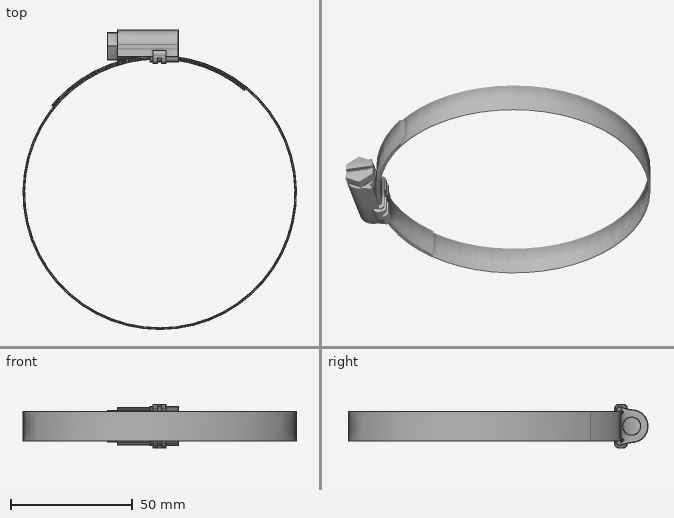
import cadquery as cq
import math

BAND_DIAMETER = 112.5
BAND_R = BAND_DIAMETER / 2
BAND_T = 0.68
BAND_WIDTH = 12.2
INNER_END = 50.4
CROWN = 90.0
OUTER_END = 141.0
RING_JOIN = 137.0
OUTER_CROWN_R = BAND_R + 0.1
OUTER_END_R = BAND_R + 0.9
INNER_CROWN_R = BAND_R - 0.6
INNER_END_R = BAND_R - 0.92
TIP_CHAMFER_LENGTH = 2.8
TIP_CHAMFER_WIDTH = 2.0

AXIS_Y = 60.2
HEAD_FLATS = 11.2
HEAD_LENGTH = 4.2
SLOT_WIDTH = 1.8
SLOT_DEPTH = 1.5
SHANK_R = 3.7

HOUSING_X0 = -17.4
HOUSING_X1 = 7.6
OVERALL_Y = 123.2
HOUSING_TOP = OVERALL_Y - BAND_R
BARREL_R = HOUSING_TOP - AXIS_Y
SHOULDER_TOP = 61.0
SHOULDER_Y = 59.1
SHOULDER_HALF = 6.9
LIP_Y = 55.9
LIP_HALF = 7.6
LIP_INNER_HALF = 6.7
TROUGH_TOP = 56.9
TROUGH_HALF = 5.7
TROUGH_Y = 54.1

SADDLE_X0 = -4.0
SADDLE_HALF = 8.0
SADDLE_Y = 53.8
SADDLE_ROUND = 1.8
RIB_X0 = -2.8
RIB_X1 = 2.5
RIB_GAP_X0 = -1.0
RIB_GAP_X1 = 0.6
RIB_HALF = 9.0
RIB_Y = 53.2
RIB_BEND = 2.0
RIB_INNER_HALF = 1.8
RIB_SIDE_TOP = 56.5
RIB_TIP_Y = 58.4
RIB_GAP_TOP = 55.5
HOOK_BULGE = 0.4
HOOK_INSET = 0.5


def polar(radius, angle):
    a = math.radians(angle)
    return (radius * math.cos(a), radius * math.sin(a))


def band_piece(outer_points, inner_points):
    """Strip across the band width between two arcs, each given as three (radius, angle) points."""
    start, middle, end = [polar(*p) for p in outer_points]
    low_start, low_middle, low_end = [polar(*p) for p in inner_points]
    outline = cq.Workplane("XY").moveTo(*start).threePointArc(middle, end).lineTo(*low_end)
    outline = outline.threePointArc(low_middle, low_start).close()
    return outline.extrude(BAND_WIDTH / 2, both=True)


def strip(points):
    """Piece of band one thickness deep below the given outer arc."""
    return band_piece(points, [(r - BAND_T, a) for r, a in points])


def x_prism(outline_points, x0, x1):
    """Prism along X with a straight-sided (Y, Z) outline."""
    return cq.Workplane("YZ", origin=(x0, 0, 0)).polyline(outline_points).close().extrude(x1 - x0)


OUTER_ARC = [(BAND_R, INNER_END), (OUTER_CROWN_R, CROWN), (OUTER_END_R, OUTER_END)]
INNER_ARC = [(INNER_END_R, INNER_END), (INNER_CROWN_R, CROWN), (BAND_R, RING_JOIN)]


def make_band():
    loop_end = INNER_END + 360
    ring = strip([(BAND_R, RING_JOIN), (BAND_R, (RING_JOIN + loop_end) / 2), (BAND_R, loop_end)])
    outer_layer = strip(OUTER_ARC)
    tip = polar(OUTER_END_R, OUTER_END)
    tangent = polar(1, OUTER_END + 90)
    radial = polar(1, OUTER_END)
    tip_plane = cq.Plane(origin=(*tip, 0), xDir=(*tangent, 0), normal=(*radial, 0))
    for side in (-1, 1):
        edge = side * BAND_WIDTH / 2
        corner = [(0, edge), (-TIP_CHAMFER_LENGTH, edge), (0, edge - side * TIP_CHAMFER_WIDTH)]
        bevel = cq.Workplane(tip_plane).polyline(corner).close().extrude(2 * BAND_T, both=True)
        outer_layer = outer_layer.cut(bevel)
    return ring.union(outer_layer).union(strip(INNER_ARC))


def make_screw():
    head_plane = cq.Workplane("YZ", origin=(HOUSING_X0 - HEAD_LENGTH, AXIS_Y, 0))
    corner_diameter = HEAD_FLATS / math.cos(math.pi / 6)
    head = head_plane.transformed(rotate=(0, 0, 90)).polygon(6, corner_diameter).extrude(HEAD_LENGTH)
    slot = head_plane.rect(2 * HEAD_FLATS, SLOT_WIDTH).extrude(SLOT_DEPTH)
    return head.cut(slot).union(shank())


def shank():
    face = cq.Workplane("YZ", origin=(HOUSING_X0, AXIS_Y, 0))
    return face.circle(SHANK_R).extrude(HOUSING_X1 - HOUSING_X0)


def make_housing():
    barrel_half = math.sqrt(BARREL_R**2 - (SHOULDER_TOP - AXIS_Y) ** 2)
    outline = (
        cq.Workplane("YZ", origin=(HOUSING_X0, 0, 0))
        .moveTo(SHOULDER_TOP, -barrel_half)
        .threePointArc((HOUSING_TOP, 0), (SHOULDER_TOP, barrel_half))
        .lineTo(SHOULDER_Y, SHOULDER_HALF)
        .lineTo(LIP_Y, LIP_HALF)
        .lineTo(LIP_Y, LIP_INNER_HALF)
        .lineTo(TROUGH_TOP, TROUGH_HALF)
        .threePointArc((TROUGH_Y, 0), (TROUGH_TOP, -TROUGH_HALF))
        .lineTo(LIP_Y, -LIP_INNER_HALF)
        .lineTo(LIP_Y, -LIP_HALF)
        .lineTo(SHOULDER_Y, -SHOULDER_HALF)
        .close()
    )
    start, crown, end = [polar(*p) for p in OUTER_ARC]
    below_band = cq.Workplane("XY").moveTo(0, 0).lineTo(*start).threePointArc(crown, end).close()
    below_band = below_band.extrude(BAND_WIDTH / 2, both=True)
    return outline.extrude(HOUSING_X1 - HOUSING_X0).cut(below_band).cut(shank())


def hooked_ribs(side):
    """Pair of ribs on one Z side, joined where they bend back onto the housing."""
    bend_inset = RIB_BEND * (1 - math.sqrt(0.5))
    hook_middle = ((RIB_SIDE_TOP + RIB_TIP_Y) / 2 + HOOK_BULGE, side * (RIB_HALF - HOOK_INSET))
    ribs = (
        cq.Workplane("YZ", origin=(RIB_X0, 0, 0))
        .moveTo(RIB_Y, side * RIB_INNER_HALF)
        .lineTo(RIB_Y, side * (RIB_HALF - RIB_BEND))
        .threePointArc(
            (RIB_Y + bend_inset, side * (RIB_HALF - bend_inset)), (RIB_Y + RIB_BEND, side * RIB_HALF)
        )
        .lineTo(RIB_SIDE_TOP, side * RIB_HALF)
        .threePointArc(hook_middle, (RIB_TIP_Y, side * SHOULDER_HALF))
        .lineTo(LIP_Y, side * SHOULDER_HALF)
        .lineTo(SADDLE_Y, side * RIB_INNER_HALF)
        .close()
        .extrude(RIB_X1 - RIB_X0)
    )
    gap = [(RIB_Y, 0), (RIB_GAP_TOP, 0), (RIB_GAP_TOP, side * RIB_HALF), (RIB_Y, side * RIB_HALF)]
    return ribs.cut(x_prism(gap, RIB_GAP_X0, RIB_GAP_X1))


def make_saddle(housing):
    half = SADDLE_HALF
    plate_outline = [(SADDLE_Y, -half), (LIP_Y, -half), (LIP_Y, half), (SADDLE_Y, half)]
    saddle = x_prism(plate_outline, SADDLE_X0, HOUSING_X1)
    saddle = saddle.edges("|X and <Y").fillet(SADDLE_ROUND)
    for side in (-1, 1):
        saddle = saddle.union(hooked_ribs(side))
    above_saddle = [(HOUSING_TOP, angle) for _, angle in INNER_ARC]
    channel = band_piece(above_saddle, [(r - BAND_T, angle) for r, angle in INNER_ARC])
    return saddle.cut(channel).cut(housing)


band = make_band()
screw = make_screw()
housing = make_housing()
saddle = make_saddle(housing)

result = cq.Compound.makeCompound([body.solids().val() for body in (band, screw, housing, saddle)])